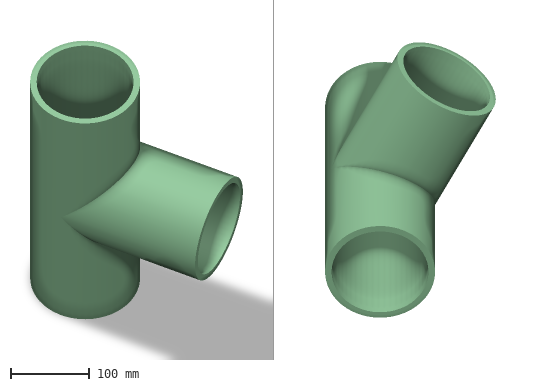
import cadquery as cq

run_length = 378.0
outer_diameter = 140.0
wall = 8.5

bore_diameter = outer_diameter - 2 * wall
branch_reach = run_length / 2


def tee_solid(diameter):
    """Run and branch cylinders of one diameter, joined on their axes."""
    run = cq.Workplane("XY").circle(diameter / 2).extrude(run_length / 2, both=True)
    branch = cq.Workplane("YZ").circle(diameter / 2).extrude(branch_reach)
    return run.union(branch)


result = tee_solid(outer_diameter).cut(tee_solid(bore_diameter))